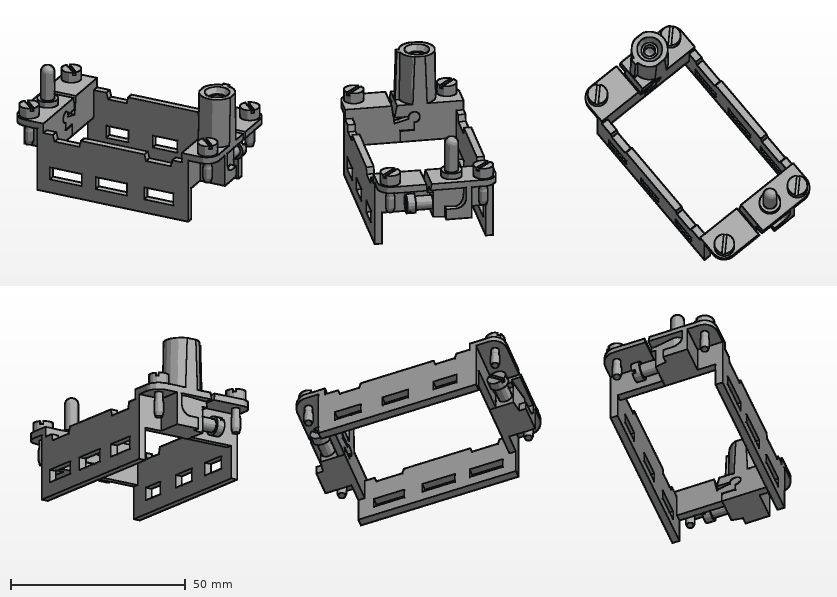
import cadquery as cq
import math


length = 64.15
width = 34.5
half_length = length / 2
half_width = width / 2
plate_top = 21.35
plate_thickness = 2.0
plate_bottom = plate_top - plate_thickness
corner_radius = 4.0
plate_inner_x = 22.1
web_thickness = 2.0
web_outer_x = plate_inner_x + web_thickness
web_bottom = 9.75

wall_thickness = 2.2
wall_top = 18.4
notch_bottom = 16.4
notch_centre_x = 14.6
notch_taper = 0.5
front_notch_width = 8.9
rear_notch_width = 6.9
window_bottom = 4.2
window_top = 7.95
front_windows = [(-20.1, -9.95), (-5.45, 4.55), (10.1, 19.4)]
rear_windows = [(-18.15, -11.05), (-3.35, 4.55), (11.1, 19.1)]

rear_edge_top_y = 3.65
rear_edge_bottom_y = 2.8
neck_z = 15.8
front_edge_top_y = 2.1
tongue_y = 2.8
tongue_z = 17.6
knuckle_y = -2.9
knuckle_z = 17.3
knuckle_radius = 1.65
neck_end_z = 16.9
ledge_y = 1.2
ledge_z = 13.2
ledge_gap = 0.2

block_front_y = -9.55
recess_depth = 2.55
recess_floor_end_y = -4.9
recess_end_y = -7.95
recess_bottom = 13.0
recess_corner = 3.15
sleeve_radius = 3.45
relief_y = -2.1

slot_width = 0.9
slot_depth = 0.9
slot_angle = -45
mount_x = 28.55
mount_y = 13.55
mount_head_diameter = 5.7
mount_head_height = 3.2
mount_neck_diameter = 2.4
mount_thread_diameter = 2.7
mount_tip_diameter = 2.0
mount_neck_end = 4.25
mount_thread_start = 4.9
mount_thread_end = 7.8
mount_tip = 9.2
clamp_x = (plate_inner_x + half_length) / 2
clamp_z = 13.4
clamp_head_diameter = 5.6
clamp_head_y = 6.2
clamp_head_height = 2.45
clamp_shank_diameter = 4.0

guide_y = -4.55
pin_diameter = 4.0
pin_top = 33.5
collar_diameter = 6.0
collar_height = 1.8
socket_top = 36.3
socket_height = socket_top - plate_top
socket_base_radius = 5.4
socket_top_radius = 5.2
key_width = 1.9
key_base_y = 1.9
key_top_y = 1.5
mouth_diameter = 7.2
throat_diameter = 5.5
throat_depth = 1.3
seat_diameter = 4.75
seat_depth = 1.65
hole_diameter = 3.35
hole_depth = 5.1
hole_tip_depth = 6.1


def box(x0, x1, y0, y1, z0, z1):
    """Box between two opposite corners."""
    return cq.Workplane("XY").box(x1 - x0, y1 - y0, z1 - z0, centered=False).translate((x0, y0, z0))


def cylinder(diameter, height, x, y, z):
    """Upright cylinder standing at the given height."""
    return cq.Workplane("XY", origin=(x, y, z)).circle(diameter / 2).extrude(height)


def end_plates(profile):
    """Both end plates of one half: a rounded plan cut to the half's cross-section."""
    plan = (
        cq.Workplane("XY", origin=(0, 0, plate_bottom))
        .rect(length, width)
        .extrude(plate_thickness)
        .edges("|Z")
        .fillet(corner_radius)
        .cut(box(-plate_inner_x, plate_inner_x, -half_width, half_width, plate_bottom, plate_top))
    )
    return plan.intersect(profile.extrude(half_length, both=True))


def knuckle_point(z):
    """Point of the knuckle circle at height z, on its +Y side."""
    return (knuckle_y + math.sqrt(knuckle_radius**2 - (z - knuckle_z) ** 2), z)


knuckle_far_point = (knuckle_y - knuckle_radius, knuckle_z)
knuckle_bottom_point = (knuckle_y, knuckle_z - knuckle_radius)


def rear_profile():
    """Cross-section of the rear web, ending in the rounded knuckle."""
    return (
        cq.Workplane("YZ")
        .moveTo(half_width, plate_top)
        .lineTo(rear_edge_top_y, plate_top)
        .lineTo(rear_edge_bottom_y, neck_z)
        .lineTo(*knuckle_point(neck_end_z))
        .threePointArc(knuckle_far_point, knuckle_bottom_point)
        .lineTo(knuckle_y, ledge_z + ledge_gap)
        .lineTo(ledge_y, ledge_z + ledge_gap)
        .lineTo(ledge_y, web_bottom)
        .lineTo(half_width, web_bottom)
        .close()
    )


def front_profile():
    """Cross-section of the front web, hollowed for the knuckle of the rear half."""
    return (
        cq.Workplane("YZ")
        .moveTo(-half_width, plate_top)
        .lineTo(front_edge_top_y, plate_top)
        .lineTo(tongue_y, tongue_z)
        .lineTo(*knuckle_point(tongue_z))
        .threePointArc(knuckle_far_point, knuckle_bottom_point)
        .lineTo(knuckle_y, ledge_z)
        .lineTo(ledge_y, ledge_z)
        .lineTo(ledge_y, web_bottom)
        .lineTo(-half_width, web_bottom)
        .close()
    )


def end_webs(profile):
    """Upright webs at both ends of one half."""
    outer = profile.extrude(web_outer_x, both=True)
    return outer.cut(
        box(-plate_inner_x, plate_inner_x, -half_width, half_width, web_bottom, plate_top)
    )


def side_wall(outer_y, notch_width, windows):
    """Long wall with two tapered notches in its top edge and a row of windows.

    outer_y is the Y of its outer face.
    """
    inner_y = outer_y - math.copysign(wall_thickness, outer_y)
    y0 = min(outer_y, inner_y)
    y1 = max(outer_y, inner_y)
    wall = box(-web_outer_x, web_outer_x, y0, y1, 0, wall_top)
    half_notch = notch_width / 2
    for x in (-notch_centre_x, notch_centre_x):
        notch = (
            cq.Workplane("XZ", origin=(0, y1, 0))
            .moveTo(x - half_notch, wall_top)
            .lineTo(x + half_notch, wall_top)
            .lineTo(x + half_notch - notch_taper, notch_bottom)
            .lineTo(x - half_notch + notch_taper, notch_bottom)
            .close()
            .extrude(wall_thickness)
        )
        wall = wall.cut(notch)
    for x0, x1 in windows:
        wall = wall.cut(box(x0, x1, y0, y1, window_bottom, window_top))
    return wall


def slotted_head(diameter, height):
    """Screw head standing on the XY plane, with a diagonal driver slot."""
    slot = box(
        -diameter, diameter, -slot_width / 2, slot_width / 2, height - slot_depth, height
    ).rotate((0, 0, 0), (0, 0, 1), slot_angle)
    return cylinder(diameter, height, 0, 0, 0).cut(slot)


def mounting_screw(x, y):
    """Upright screw with a necked, pointed shank below the plate."""
    shank = (
        cq.Workplane("XZ")
        .lineTo(mount_neck_diameter / 2, 0)
        .lineTo(mount_neck_diameter / 2, -mount_neck_end)
        .lineTo(mount_thread_diameter / 2, -mount_thread_start)
        .lineTo(mount_thread_diameter / 2, -mount_thread_end)
        .lineTo(mount_tip_diameter / 2, -mount_tip)
        .lineTo(0, -mount_tip)
        .close()
        .revolve(360, (0, 0, 0), (0, 1, 0))
    )
    screw = slotted_head(mount_head_diameter, mount_head_height).union(shank)
    return screw.translate((x, y, plate_top))


def clamp_screw(x):
    """Horizontal screw running from the clamp block toward +Y."""
    shank_length = clamp_head_y - ledge_y
    screw = slotted_head(clamp_head_diameter, clamp_head_height).union(
        cylinder(clamp_shank_diameter, shank_length, 0, 0, -shank_length)
    )
    return screw.rotate((0, 0, 0), (1, 0, 0), -90).translate((x, clamp_head_y, clamp_z))


def clamp_block():
    """Block under the -X front plate, with a lip over the joint and a wire recess outside.

    The recess runs in along a sloping floor and then around an upright sleeve.
    """
    lip_x = -half_length + recess_depth
    block = box(-half_length, -web_outer_x, block_front_y, ledge_y, web_bottom, plate_bottom)
    edge_slope = (tongue_y - front_edge_top_y) / (plate_top - tongue_z)
    lip = (
        cq.Workplane("YZ", origin=(lip_x, 0, 0))
        .moveTo(ledge_y, plate_bottom)
        .lineTo(front_edge_top_y + edge_slope * plate_thickness, plate_bottom)
        .lineTo(tongue_y, tongue_z)
        .lineTo(ledge_y, tongue_z)
        .close()
        .extrude(-web_outer_x - lip_x)
    )
    sleeve_start_x = -clamp_x - math.sqrt(sleeve_radius**2 - (recess_floor_end_y - guide_y) ** 2)
    sleeve_end_x = -clamp_x - math.sqrt(sleeve_radius**2 - (recess_end_y - guide_y) ** 2)
    sleeve_diagonal = sleeve_radius * math.sqrt(0.5)
    plan = (
        cq.Workplane("XY", origin=(0, 0, web_bottom))
        .moveTo(-half_length, ledge_y)
        .lineTo(lip_x, ledge_y)
        .lineTo(sleeve_start_x, recess_floor_end_y)
        .threePointArc(
            (-clamp_x - sleeve_diagonal, guide_y - sleeve_diagonal),
            (sleeve_end_x, recess_end_y),
        )
        .lineTo(-half_length, recess_end_y)
        .close()
        .extrude(plate_bottom - web_bottom)
    )
    side = (
        cq.Workplane("YZ", origin=(-half_length, 0, 0))
        .moveTo(ledge_y, plate_bottom)
        .lineTo(ledge_y, web_bottom)
        .lineTo(relief_y, web_bottom)
        .lineTo(relief_y, recess_bottom)
        .lineTo(recess_end_y + recess_corner, recess_bottom)
        .radiusArc((recess_end_y, recess_bottom + recess_corner), recess_corner)
        .lineTo(recess_end_y, plate_bottom)
        .close()
        .extrude(-web_outer_x + half_length)
    )
    return block.cut(plan.intersect(side)).union(lip)


def guide_pin():
    """Round-nosed pin on a low collar."""
    nose_radius = pin_diameter / 2
    nose_base = pin_top - nose_radius
    collar = cylinder(collar_diameter, collar_height, -clamp_x, guide_y, plate_top)
    shaft = cylinder(pin_diameter, nose_base - plate_top, -clamp_x, guide_y, plate_top)
    nose = cq.Workplane("XY").sphere(nose_radius).translate((-clamp_x, guide_y, nose_base))
    return collar.union(shaft).union(nose)


def guide_socket():
    """Tapered socket with flats flush with the plate sides, a key rib and a stepped bore."""
    body = (
        cq.Workplane("XY", origin=(clamp_x, guide_y, plate_top))
        .circle(socket_base_radius)
        .workplane(offset=socket_height)
        .circle(socket_top_radius)
        .loft(ruled=True)
    )
    body = body.intersect(
        box(plate_inner_x, half_length, -half_width, half_width, plate_top, socket_top)
    )
    key = (
        cq.Workplane("YZ", origin=(clamp_x - key_width / 2, 0, 0))
        .moveTo(guide_y, plate_top)
        .lineTo(key_base_y, plate_top)
        .lineTo(key_top_y, socket_top)
        .lineTo(guide_y, socket_top)
        .close()
        .extrude(key_width)
    )
    bore = (
        cq.Workplane("XZ")
        .lineTo(mouth_diameter / 2, 0)
        .lineTo(throat_diameter / 2, -throat_depth)
        .lineTo(seat_diameter / 2, -seat_depth)
        .lineTo(hole_diameter / 2, -seat_depth)
        .lineTo(hole_diameter / 2, -hole_depth)
        .lineTo(0, -hole_tip_depth)
        .close()
        .revolve(360, (0, 0, 0), (0, 1, 0))
        .translate((clamp_x, guide_y, socket_top))
    )
    return body.union(key).cut(bore)


def rear_half():
    """Rear frame half with its two mounting screws."""
    half = side_wall(half_width, rear_notch_width, rear_windows)
    half = half.union(end_webs(rear_profile())).union(end_plates(rear_profile()))
    for x in (-mount_x, mount_x):
        half = half.union(mounting_screw(x, mount_y))
    return half


def front_half():
    """Front frame half with clamp blocks, screws, guide pin and guide socket."""
    half = side_wall(-half_width, front_notch_width, front_windows)
    half = half.union(end_webs(front_profile())).union(end_plates(front_profile()))
    block = clamp_block()
    half = half.union(block).union(block.mirror("YZ"))
    for x in (-mount_x, mount_x):
        half = half.union(mounting_screw(x, -mount_y))
    for x in (-clamp_x, clamp_x):
        half = half.union(clamp_screw(x))
    return half.union(guide_pin()).union(guide_socket())


rear_frame = rear_half()
front_frame = front_half()
result = cq.Compound.makeCompound([rear_frame.val(), front_frame.val()])